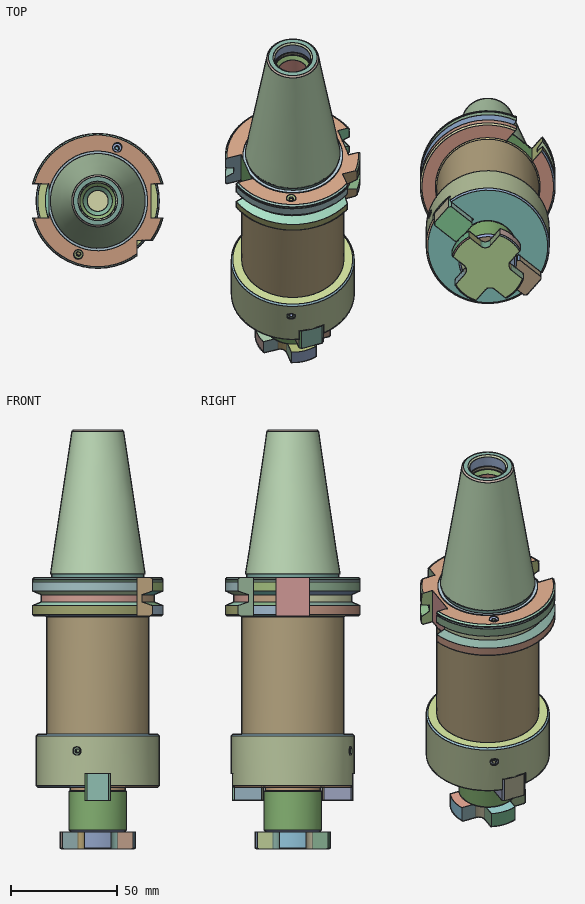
import cadquery as cq
import math

total_height = 197.4
gauge_z = 129.7
flange_top_z = 128.0
flange_bottom_z = 109.8
groove_z = 118.0
collar_top_z = 54.0
collar_bottom_z = 29.0
nut_height = 8.0

gauge_radius = 22.3
gauge_land_height = 0.2
tip_radius = 12.2
tip_chamfer = 0.8
neck_radius = 21.7
neck_recess_radius = 23.5
neck_recess_depth = 0.4

flange_radius = 31.8
flange_chamfer = 0.8
rim_groove_top_z = 126.7
rim_groove_width = 1.0
rim_groove_depth = 0.1
groove_floor_radius = 27.8
groove_floor_width = 3.4
groove_mouth_width = 7.0
drive_slot_width = 16.0
shallow_slot_offset = 25.0
deep_slot_offset = 22.9
notch_offset = 18.5

body_radius = 24.0
body_root_radius = 24.7
body_root_height = 0.5
collar_radius = 29.0
collar_chamfer = 0.8
pilot_radius = 13.6
pilot_chamfer = 1.0
undercut_radius = 13.0
undercut_chamfer = 0.5
undercut_height = 1.4

nut_radius = 17.8
nut_arm_width = 12.5
nut_corner_radius = 3.2
nut_chamfer = 0.5

key_width = 12.2
key_inner_y = 13.8
key_outer_y = math.sqrt(collar_radius**2 - (key_width / 2) ** 2)
key_top_z = 35.5
key_bottom_z = 22.9
key_chamfer = 1.0

bore_mouth_radius = 9.3
bore_radius = 8.5
bore_depth = 8.0
relief_radius = 8.9
relief_width = 1.8
thread_radius = 7.0
thread_depth = 29.6
bore_end_radius = 5.0

plug_angle = 20.0
collar_plug_radius = 2.0
flange_plug_radius = 2.2
flange_plug_tilt = 15.0
plug_recess = 0.8
socket_width = 2.0
socket_depth = 2.0
flange_plug_circle = 26.8
collar_plug_z = 46.2


def revolve_profile(points):
    """Turn an outline of (radius, height) points about the Z axis."""
    return cq.Workplane("XZ").polyline(points).close().revolve(360, (0, 0, 0), (0, 1, 0))


def turned_body():
    mouth = groove_mouth_width / 2
    floor = groove_floor_width / 2
    rim_groove_bottom_z = rim_groove_top_z - rim_groove_width
    rim_groove_radius = flange_radius - rim_groove_depth
    return revolve_profile([
        (0, nut_height),
        (pilot_radius - pilot_chamfer, nut_height),
        (pilot_radius, nut_height + pilot_chamfer),
        (pilot_radius, collar_bottom_z - undercut_height - undercut_chamfer),
        (undercut_radius, collar_bottom_z - undercut_height),
        (undercut_radius, collar_bottom_z),
        (collar_radius - collar_chamfer, collar_bottom_z),
        (collar_radius, collar_bottom_z + collar_chamfer),
        (collar_radius, collar_top_z - collar_chamfer),
        (collar_radius - collar_chamfer, collar_top_z),
        (body_radius, collar_top_z),
        (body_radius, flange_bottom_z - body_root_height),
        (body_root_radius, flange_bottom_z),
        (flange_radius - flange_chamfer, flange_bottom_z),
        (flange_radius, flange_bottom_z + flange_chamfer),
        (flange_radius, groove_z - mouth),
        (groove_floor_radius, groove_z - floor),
        (groove_floor_radius, groove_z + floor),
        (flange_radius, groove_z + mouth),
        (flange_radius, rim_groove_bottom_z),
        (rim_groove_radius, rim_groove_bottom_z),
        (rim_groove_radius, rim_groove_top_z),
        (flange_radius, rim_groove_top_z),
        (flange_radius, flange_top_z - flange_chamfer),
        (flange_radius - flange_chamfer, flange_top_z),
        (neck_recess_radius, flange_top_z),
        (neck_recess_radius, flange_top_z - neck_recess_depth),
        (neck_radius, flange_top_z - neck_recess_depth),
        (neck_radius, gauge_z - gauge_land_height),
        (gauge_radius, gauge_z - gauge_land_height),
        (gauge_radius, gauge_z),
        (tip_radius, total_height - tip_chamfer),
        (tip_radius - tip_chamfer, total_height),
        (0, total_height),
    ])


def turned(shape, angle):
    """Turn a shape about the Z axis by an angle in degrees."""
    return shape.rotate((0, 0, 0), (0, 0, 1), angle)


def box_between(x_range, y_range, z_range):
    """Box from its limits along the three axes."""
    ranges = (x_range, y_range, z_range)
    sizes = [high - low for low, high in ranges]
    center = [(low + high) / 2 for low, high in ranges]
    return cq.Workplane("XY").box(*sizes).translate(tuple(center))


def flange_cuts():
    """Two drive slots of unequal depth and the corner notch, through the whole flange."""
    outside = 2 * flange_radius
    z_range = (flange_bottom_z, flange_top_z)
    slot_y = (-drive_slot_width / 2, drive_slot_width / 2)
    shallow_slot = box_between((shallow_slot_offset, outside), slot_y, z_range)
    deep_slot = box_between((-outside, -deep_slot_offset), slot_y, z_range)
    notch = box_between((notch_offset, outside), (-outside, -notch_offset), z_range)
    return shallow_slot.union(deep_slot).union(notch)


def clamping_nut():
    """Cross of four arms with rounded inner corners, trimmed to a chamfered disc."""
    arm_length = 2 * nut_radius
    centered = (True, True, False)
    arm = cq.Workplane("XY").box(arm_length, nut_arm_width, nut_height, centered=centered)
    cross = arm.union(turned(arm, 90))
    inner_corners = cq.selectors.BoxSelector(
        (-nut_arm_width, -nut_arm_width, 0), (nut_arm_width, nut_arm_width, nut_height)
    )
    cross = cross.edges("|Z").edges(inner_corners).fillet(nut_corner_radius)
    disc = cq.Workplane("XY").circle(nut_radius).extrude(nut_height).faces("<Z").chamfer(nut_chamfer)
    return cross.intersect(disc)


def key_box(outer_y, bottom_z):
    return box_between(
        (-key_width / 2, key_width / 2), (key_inner_y, outer_y), (bottom_z, key_top_z)
    )


def key_slot():
    return key_box(collar_radius, collar_bottom_z)


def drive_key():
    return key_box(key_outer_y, key_bottom_z).edges("|Z").chamfer(key_chamfer)


def drawbar_bore():
    """Pilot bore with a chamfered mouth and a relief ring, coned down to a blind thread hole."""
    bore_floor_z = total_height - bore_depth
    thread_end_z = total_height - thread_depth
    mouth_height = bore_mouth_radius - bore_radius
    cone_height = bore_radius - thread_radius
    end_cone_height = thread_radius - bore_end_radius
    return revolve_profile([
        (0, total_height),
        (bore_mouth_radius, total_height),
        (bore_radius, total_height - mouth_height),
        (bore_radius, bore_floor_z + relief_width),
        (relief_radius, bore_floor_z + relief_width),
        (relief_radius, bore_floor_z),
        (bore_radius, bore_floor_z),
        (thread_radius, bore_floor_z - cone_height),
        (thread_radius, thread_end_z),
        (bore_end_radius, thread_end_z - end_cone_height),
        (0, thread_end_z - end_cone_height),
    ])


def plug_hole(radius):
    """Recessed plug screw with a hexagon socket, entering downward from the origin."""
    recess = cq.Workplane("XY").circle(radius).extrude(plug_recess + radius)
    recess = recess.translate((0, 0, -plug_recess))
    socket_corners = socket_width / math.cos(math.pi / 6)
    socket = cq.Workplane("XY").polygon(6, socket_corners).extrude(-(plug_recess + socket_depth))
    return recess.union(socket)


def flange_plug():
    tilted = plug_hole(flange_plug_radius).rotate((0, 0, 0), (1, 0, 0), flange_plug_tilt)
    return tilted.translate((0, -flange_plug_circle, flange_top_z))


def collar_plug():
    level = plug_hole(collar_plug_radius).rotate((0, 0, 0), (1, 0, 0), 90)
    return level.translate((0, -collar_radius, collar_plug_z))


result = turned_body().cut(flange_cuts()).union(clamping_nut()).cut(drawbar_bore())
for half_turn in (0, 180):
    result = result.cut(turned(key_slot(), half_turn)).union(turned(drive_key(), half_turn))
    result = result.cut(turned(flange_plug(), half_turn - plug_angle))
    result = result.cut(turned(collar_plug(), half_turn - plug_angle))